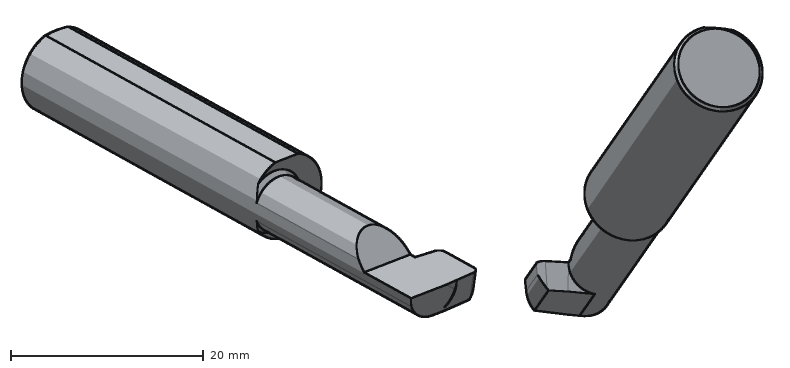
import cadquery as cq
import math

total_length = 63.5
shank_length = 37.6
shank_radius = 4.75
flat_height = 4.5
shank_chamfer_length = 0.25
shank_chamfer_depth = 0.4

neck_radius = 3.2
neck_y = -1.65
root_length = 0.7
root_rise = 0.4

ramp_end = 55.9
head_start = 56.65
head_top_y = 4.7
side_taper = 0.3
taper_end_y = 0.0
corner_radius = 0.8
relief_angle = 5.0


def make_shank():
    """Cylinder with a chamfered rear end and a flat along the top."""
    shank = (
        cq.Workplane("XY")
        .moveTo(0, 0)
        .lineTo(0, shank_radius - shank_chamfer_depth)
        .lineTo(shank_chamfer_length, shank_radius)
        .lineTo(shank_length, shank_radius)
        .lineTo(shank_length, 0)
        .close()
        .revolve(360, (0, 0, 0), (1, 0, 0))
    )
    below_flat = (
        cq.Workplane("XY", origin=(0, 0, flat_height))
        .rect(2 * shank_length, 2 * shank_radius)
        .extrude(-2 * shank_radius)
    )
    return shank.intersect(below_flat)


def make_neck():
    """Eccentric cylinder with a conical root, a 45 degree ramp and a relieved end."""
    relief = shank_radius * math.tan(math.radians(relief_angle))
    neck = (
        cq.Workplane("XY", origin=(0, neck_y, 0))
        .moveTo(shank_length, 0)
        .lineTo(shank_length, neck_radius + root_rise)
        .lineTo(shank_length + root_length, neck_radius)
        .lineTo(total_length, neck_radius)
        .lineTo(total_length, 0)
        .close()
        .revolve(360, (0, 0, 0), (1, 0, 0))
    )
    side_profile = (
        cq.Workplane("XZ")
        .moveTo(shank_length, -shank_radius)
        .lineTo(shank_length, shank_radius)
        .lineTo(ramp_end - shank_radius, shank_radius)
        .lineTo(ramp_end, 0)
        .lineTo(total_length, 0)
        .lineTo(total_length - relief, -shank_radius)
        .close()
        .extrude(2 * shank_radius, both=True)
    )
    beyond_head_flank = (
        cq.Workplane("XY")
        .moveTo(total_length, taper_end_y)
        .lineTo(total_length, head_top_y)
        .lineTo(total_length - side_taper, head_top_y)
        .close()
        .extrude(-shank_radius)
    )
    return neck.intersect(side_profile).cut(beyond_head_flank)


def make_head():
    """Tapered tooth standing out sideways from the neck, with rounded outer corners."""
    return (
        cq.Workplane("XY")
        .moveTo(head_start, neck_y)
        .lineTo(head_start, neck_y + neck_radius)
        .lineTo(head_start + side_taper, head_top_y)
        .lineTo(total_length - side_taper, head_top_y)
        .lineTo(total_length, taper_end_y)
        .lineTo(total_length, neck_y)
        .close()
        .extrude(-neck_radius, taper=relief_angle)
        .edges("not #Z")
        .edges(">Y")
        .fillet(corner_radius)
    )


envelope = cq.Workplane("YZ").circle(shank_radius).extrude(total_length)
tool_end = make_neck().union(make_head()).intersect(envelope)
result = make_shank().union(tool_end)